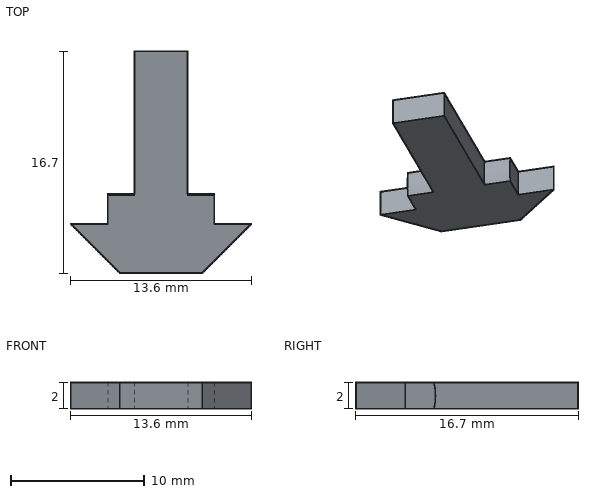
import cadquery as cq

total_length = 16.7
thickness = 2.0
head_width = 13.6
head_height = 3.7
stem_width = 4.0
collar_width = 8.02
collar_top = 5.86
shoulder_bulge = 0.12

tip_width = head_width - 2 * head_height


def make_head():
    """Arrow head, narrow at the tip and widest at its barbs."""
    return (
        cq.Workplane("XY")
        .polyline([
            (-tip_width / 2, 0),
            (tip_width / 2, 0),
            (head_width / 2, head_height),
            (-head_width / 2, head_height),
        ])
        .close()
        .extrude(thickness)
    )


def make_collar():
    """Block behind the head whose shoulders are rounded across the thickness."""
    return (
        cq.Workplane("YZ")
        .lineTo(collar_top, 0)
        .threePointArc(
            (collar_top + shoulder_bulge, thickness / 2),
            (collar_top, thickness),
        )
        .lineTo(0, thickness)
        .close()
        .extrude(collar_width / 2, both=True)
        .intersect(
            cq.Workplane("XY")
            .box(collar_width, total_length, thickness, centered=(True, False, False))
            .translate((0, head_height, 0))
        )
    )


def make_stem():
    """Straight bar from the barbs to the far end."""
    return (
        cq.Workplane("XY")
        .box(stem_width, total_length - head_height, thickness, centered=(True, False, False))
        .translate((0, head_height, 0))
    )


result = make_head().union(make_collar()).union(make_stem())